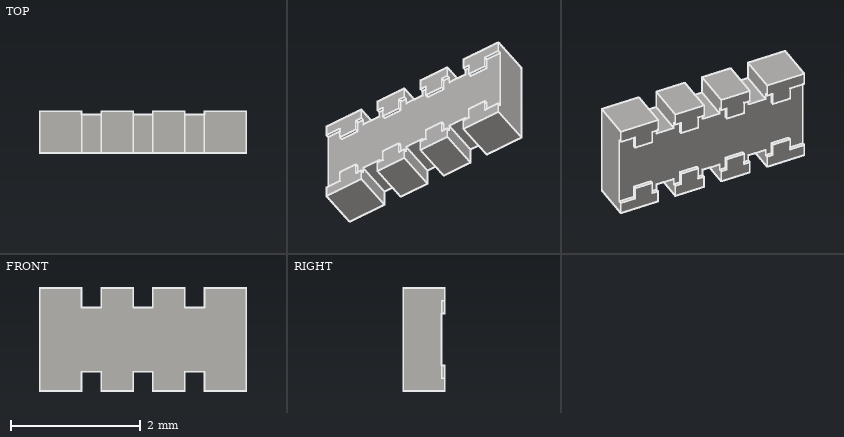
import cadquery as cq

length = 3.2
height = 1.6
body_thickness = 0.6
pad_thickness = 0.05
total_thickness = body_thickness + pad_thickness

pitch = 0.8
notch_width = 0.3
notch_depth = 0.3
notch_centers = (-pitch, 0, pitch)

terminal_centers = (-1.5 * pitch, -0.5 * pitch, 0.5 * pitch, 1.5 * pitch)
strip_height = 0.2
tongue_reach = 0.4
tongue_width = 0.3

front_y = -total_thickness / 2
pad_y = front_y + body_thickness


def block(x, y_start, z, width, thickness, tall):
    """Box centred at x and z that grows towards +Y from y_start."""
    box = cq.Workplane("XY").box(width, thickness, tall, centered=(True, False, True))
    return box.translate((x, y_start, z))


def make_slab():
    """Body plate with the two rows of edge strips, before notching."""
    slab = block(0, front_y, 0, length, body_thickness, height)
    for side in (-1, 1):
        strip_z = side * (height - strip_height) / 2
        slab = slab.union(block(0, pad_y, strip_z, length, pad_thickness, strip_height))
    return slab


def add_tongues(part):
    for side in (-1, 1):
        tongue_z = side * (height - tongue_reach) / 2
        for x in terminal_centers:
            part = part.union(block(x, pad_y, tongue_z, tongue_width, pad_thickness, tongue_reach))
    return part


def cut_notches(part):
    """Cut through the full thickness, with each cutter centred on the part edge."""
    for side in (-1, 1):
        edge_z = side * height / 2
        for x in notch_centers:
            part = part.cut(block(x, front_y, edge_z, notch_width, total_thickness, 2 * notch_depth))
    return part


result = cut_notches(add_tongues(make_slab()))